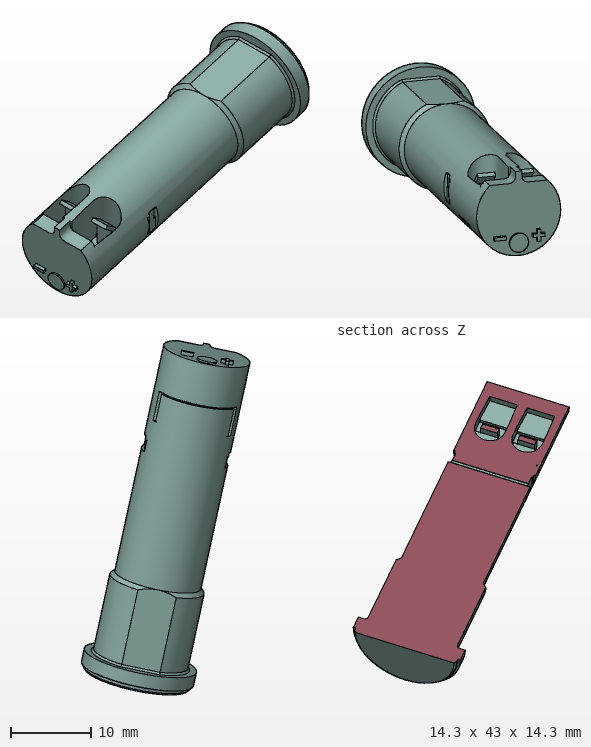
import cadquery as cq

overall_length = 43.0
mark_height = 0.47
body_length = overall_length - mark_height

flange_diameter = 14.3
cap_radius = 6.85
neck_radius = 6.0
body_radius = 5.5
cap_height = 0.7
cap_chamfer = 0.25
flange_height = 1.75
neck_length = 10.0
neck_taper_length = neck_radius - body_radius
root_chamfer = 0.25

flange_top = body_length - cap_height
flange_bottom = flange_top - flange_height
neck_bottom = flange_bottom - neck_length

window_bottom = 11.55
window_length = 1.85
window_height = 3.8
window_corner = 0.2
window_depth = 0.4
window_ledge_width = 0.4
window_ledge_depth = 0.2
slit_width = 0.35

pocket_offset = 2.5
pocket_radius = 1.95
pocket_center_y = 6.65
pocket_taper_start = 5.1
pocket_front = 2.1
pocket_front_half_width = 1.8
pocket_floor = -0.85

well_back = 7.15
well_front = 5.35
well_depth = 0.45
clip_width = 2.3
clip_tip_y = 5.55
clip_tip_z = 3.85
clip_end_drop = 0.4
clip_foot_thickness = 0.77

notch_floor = 4.0
notch_inner_x = 0.45
notch_fillet = 0.8

tongue_top = -3.0
tongue_front = 5.35
tongue_gap_width = 0.17
tongue_gap_depth = 0.45
side_gap_inner_x = 4.4
side_gap_height = 0.55
side_gap_length = 3.8

mark_x = 2.55
mark_z = -2.95
mark_length = 1.55
mark_width = 0.45
button_radius = 1.25
button_z = -3.8
button_height = 0.2

overlap = 0.45
clearance = 8.6


def box(x_range, y_range, z_range):
    """Box filling the given ranges."""
    spans = (x_range, y_range, z_range)
    sizes = [high - low for low, high in spans]
    centers = [(low + high) / 2 for low, high in spans]
    return cq.Workplane("XY").box(*sizes).translate(tuple(centers))


def mirrored(shape):
    """The shape together with its mirror image across X = 0."""
    return shape.union(shape.mirror("YZ"))


def flatted_section(offset):
    """Neck cross-section on XZ: a circle cut by flats level with the body."""
    flat_height = body_radius + offset
    circle = cq.Workplane("XZ").circle(neck_radius + offset).extrude(-overall_length)
    return circle.intersect(
        box((-clearance, clearance), (-overlap, overall_length), (-flat_height, flat_height))
    )


def turned_body():
    """Head, flange, neck and body as one turned shape, the neck with two flats."""
    flange = (
        cq.Workplane("XZ", origin=(0, flange_bottom, 0))
        .circle(flange_diameter / 2)
        .extrude(-flange_height)
    )
    cap = (
        cq.Workplane("XZ", origin=(0, flange_top, 0))
        .circle(cap_radius)
        .extrude(-cap_height)
        .faces(">Y")
        .chamfer(cap_chamfer)
    )
    shank = (
        cq.Workplane("XY")
        .moveTo(0, 0)
        .lineTo(body_radius, 0)
        .lineTo(body_radius, neck_bottom - neck_taper_length)
        .lineTo(neck_radius, neck_bottom)
        .lineTo(neck_radius, flange_bottom)
        .lineTo(0, flange_bottom)
        .close()
        .revolve(360, (0, 0, 0), (0, 1, 0))
        .intersect(flatted_section(0))
    )
    return shank.union(flange).union(cap)


def neck_root():
    """Sloped collar where the flatted neck meets the flange."""
    collar = flatted_section(root_chamfer).intersect(
        box(
            (-clearance, clearance),
            (flange_bottom - root_chamfer, flange_top),
            (-clearance, clearance),
        )
    )
    return collar.faces("<Y").chamfer(root_chamfer)


def window_cut():
    """Stepped recess in the -X side of the body."""
    def recess(bottom, depth):
        length = window_bottom + window_length - bottom
        return (
            cq.Workplane("YZ", origin=(-clearance, bottom + length / 2, 0))
            .rect(length, window_height)
            .extrude(clearance - body_radius + depth)
            .edges("|X")
            .fillet(window_corner)
        )

    ledge = recess(window_bottom, window_ledge_depth)
    return ledge.union(recess(window_bottom + window_ledge_width, window_depth))


def through_slit():
    """Narrow slit crossing the whole body at the head end of the upper half of the windows."""
    back = window_bottom + window_length
    return box(
        (-clearance, clearance),
        (back - slit_width, back),
        (0, window_height / 2 - window_corner),
    )


def pocket_cut():
    """Round-backed wire pocket with a deeper well, on the +X side."""
    pocket = (
        cq.Workplane("XY", origin=(pocket_offset, 0, pocket_floor))
        .moveTo(-pocket_front_half_width, pocket_front)
        .lineTo(-pocket_radius, pocket_taper_start)
        .lineTo(-pocket_radius, pocket_center_y)
        .threePointArc((0, pocket_center_y + pocket_radius), (pocket_radius, pocket_center_y))
        .lineTo(pocket_radius, pocket_taper_start)
        .lineTo(pocket_front_half_width, pocket_front)
        .close()
        .extrude(clearance)
    )
    well = box(
        (pocket_offset - pocket_radius, pocket_offset + pocket_radius),
        (well_front, well_back),
        (pocket_floor - well_depth, pocket_floor),
    )
    return pocket.union(well.intersect(pocket.translate((0, 0, -well_depth))))


def spring_clip():
    """Plate leaning 45 degrees forward from an upright foot, with a square end at its raised tip."""
    foot_z = pocket_floor - well_depth - overlap
    foot_front = well_back - clip_foot_thickness
    end_y = clip_tip_y - clip_end_drop
    end_z = clip_tip_z - clip_end_drop
    return (
        cq.Workplane("YZ", origin=(pocket_offset - clip_width / 2, 0, 0))
        .moveTo(clip_tip_y, clip_tip_z)
        .lineTo(end_y, end_z)
        .lineTo(foot_front, end_z - (foot_front - end_y))
        .lineTo(foot_front, foot_z)
        .lineTo(well_back, foot_z)
        .lineTo(well_back, clip_tip_z - (well_back - clip_tip_y))
        .close()
        .extrude(clip_width)
    )


def notch_cut():
    """Shallow notch from the contact face into the pocket, on the +X side."""
    notch = box((notch_inner_x, clearance), (-overlap, pocket_front), (notch_floor, clearance))
    return notch.edges("|Y and <X and <Z").fillet(notch_fillet)


def tongue_gap():
    """Curved gap across the tongue's front end and flat-bottomed gaps above its long sides."""
    front_gap = (
        cq.Workplane("XZ", origin=(0, tongue_front, 0))
        .circle(clearance)
        .circle(body_radius - tongue_gap_depth)
        .extrude(-tongue_gap_width)
        .intersect(box((-clearance, clearance), (0, overall_length), (-clearance, tongue_top)))
    )
    side_gap = box(
        (side_gap_inner_x, clearance),
        (tongue_front, tongue_front + side_gap_length),
        (tongue_top, tongue_top + side_gap_height),
    )
    return front_gap.union(mirrored(side_gap))


def face_marks():
    """Raised plus sign, minus sign and round button on the contact face."""
    signs = cq.Workplane("XZ").pushPoints([(-mark_x, mark_z), (mark_x, mark_z)])
    bars = signs.rect(mark_length, mark_width).extrude(mark_height)
    upright = (
        cq.Workplane("XZ")
        .center(mark_x, mark_z)
        .rect(mark_width, mark_length)
        .extrude(mark_height)
    )
    button = (
        cq.Workplane("XZ")
        .center(0, button_z)
        .circle(button_radius)
        .extrude(button_height)
    )
    return bars.union(upright).union(button)


result = (
    turned_body()
    .union(neck_root())
    .cut(mirrored(window_cut()))
    .cut(through_slit())
    .cut(mirrored(pocket_cut()))
    .union(mirrored(spring_clip()))
    .cut(mirrored(notch_cut()))
    .cut(tongue_gap())
    .union(face_marks())
)